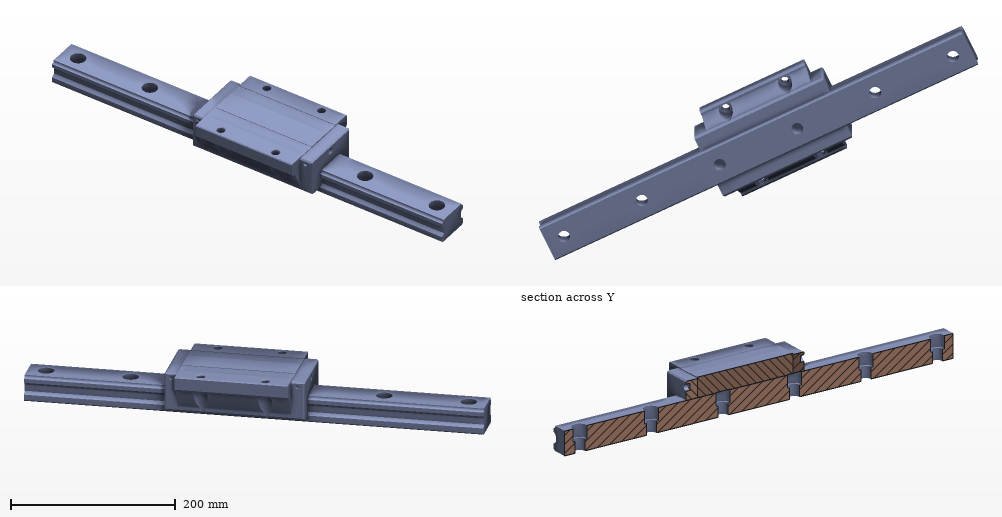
import cadquery as cq
rail_length = 570.0
rail_height = 33.0
rail_half_width = 23.0
rail_top_half_width = 19.5
rail_neck_half_width = 18.0
rail_foot_bevel = 1.5
rail_foot_top = 8.5
neck_bottom = 12.0
neck_top = 20.0
head_bottom = 24.0
head_top = 29.0
upper_track_sagitta = 1.0
side_track_sagitta = 0.5
rail_hole_count = 6
rail_hole_pitch = 105.0
rail_hole_diameter = 14.0
rail_counterbore_diameter = 20.0
rail_counterbore_depth = 17.0

carriage_x = 20.0
carriage_top = 60.0
block_length = 141.0
flange_half_width = 120.0 / 2
flange_thickness = 19.0
flange_top_bevel = 1.0
flange_edge_bevel = 3.0
slope_top_half_width = 54.0
slope_top_round = 2.0
slope_bottom_round = 7.0
skirt_half_width = 42.0
skirt_top = 16.5
carriage_bottom = 8.5
bottom_bevel = 3.0
bolt_pitch_x = 80.0
bolt_pitch_y = 100.5
bolt_hole_diameter = 10.0
bolt_hole_bevel = 0.85
bolt_relief_diameter = 17.0
strip_inner = 16.5
strip_outer = 35.5
strip_depth = 0.5

cap_length = 16.5
cap_top = 58.0
cap_bevel = 1.5
grease_hole_diameter = 8.5
grease_hole_depth = 5.5
grease_hole_z = 49.5
side_port_diameter = 5.2
side_port_depth = 3.0
side_port_z = 52.5
side_port_inset = 8.0


def extrude_section(half_outline, length, center_x):
    """Mirror a (y, z) half outline about y = 0 and extrude it along X."""
    mirrored = [(-y, z) for y, z in reversed(half_outline)]
    section = cq.Workplane("YZ").polyline(half_outline + mirrored).close()
    return section.extrude(length / 2, both=True).translate((center_x, 0, 0))


def rail_bar():
    """Rail without its holes: straight sections joined by concave ball tracks."""
    half = (
        cq.Workplane("YZ")
        .moveTo(0, 0)
        .lineTo(rail_half_width - rail_foot_bevel, 0)
        .lineTo(rail_half_width, rail_foot_bevel)
        .lineTo(rail_half_width, rail_foot_top)
        .lineTo(rail_neck_half_width, neck_bottom)
        .lineTo(rail_neck_half_width, neck_top)
        .sagittaArc((rail_half_width, head_bottom), side_track_sagitta)
        .lineTo(rail_half_width, head_top)
        .sagittaArc((rail_top_half_width, rail_height), upper_track_sagitta)
        .lineTo(0, rail_height)
        .close()
        .extrude(rail_length / 2, both=True)
    )
    return half.union(half.mirror("XZ"))


def make_rail():
    return (
        rail_bar()
        .faces(">Z")
        .workplane(origin=(0, 0, rail_height))
        .rarray(rail_hole_pitch, 5.5, rail_hole_count, 1)
        .cboreHole(rail_hole_diameter, rail_counterbore_diameter, rail_counterbore_depth)
    )


def round_long_edge(block, y, z, radius):
    """Fillet the edge along X that lies at (y, z)."""
    edge = cq.selectors.NearestToPointSelector((carriage_x, y, z))
    return block.edges("|X").edges(edge).fillet(radius)


def bolt_positions(z):
    return cq.Workplane("XY", origin=(carriage_x, 0, z)).rarray(bolt_pitch_x, bolt_pitch_y, 2, 2)


def bolt_holes(flange_bottom):
    """Bolt holes with bevelled mouths, and the wider reliefs below the flanges."""
    hole_radius = bolt_hole_diameter / 2
    mouth = cq.Solid.makeCone(hole_radius, hole_radius + bolt_hole_bevel, bolt_hole_bevel)
    mouths = bolt_positions(carriage_top - bolt_hole_bevel).eachpoint(mouth.moved)
    holes = bolt_positions(flange_bottom).circle(hole_radius).extrude(flange_thickness)
    reliefs = (
        bolt_positions(carriage_bottom)
        .circle(bolt_relief_diameter / 2)
        .extrude(flange_bottom - carriage_bottom)
    )
    return holes.union(mouths).union(reliefs)


def make_block():
    flange_bottom = carriage_top - flange_thickness
    half_outline = [
        (skirt_half_width - bottom_bevel, carriage_bottom),
        (skirt_half_width, carriage_bottom + bottom_bevel),
        (skirt_half_width, skirt_top),
        (slope_top_half_width, flange_bottom),
        (flange_half_width - flange_edge_bevel, flange_bottom),
        (flange_half_width, flange_bottom + flange_edge_bevel),
        (flange_half_width, carriage_top - flange_top_bevel),
        (flange_half_width - flange_top_bevel, carriage_top),
    ]
    block = extrude_section(half_outline, block_length, carriage_x)
    for side in (-1, 1):
        block = round_long_edge(block, side * slope_top_half_width, flange_bottom, slope_top_round)
        block = round_long_edge(block, side * skirt_half_width, skirt_top, slope_bottom_round)

    strip_width = strip_outer - strip_inner
    strips = (
        cq.Workplane("XY", origin=(carriage_x, 0, carriage_top))
        .rarray(5.5, strip_inner + strip_outer, 1, 2)
        .rect(block_length, strip_width)
        .extrude(-strip_depth)
    )
    return block.cut(strips).cut(bolt_holes(flange_bottom)).cut(rail_bar())


def make_end_cap(side):
    """End cap on the +X (side = 1) or -X (side = -1) end of the block."""
    block_face_x = carriage_x + side * block_length / 2
    outer_face_x = block_face_x + side * cap_length
    cap = (
        cq.Workplane("XY")
        .box(cap_length, 2 * skirt_half_width, cap_top - carriage_bottom)
        .translate(((block_face_x + outer_face_x) / 2, 0, (cap_top + carriage_bottom) / 2))
    )
    outer_face = ">X" if side > 0 else "<X"
    cap = cap.edges("|X and <Z").chamfer(bottom_bevel)
    cap = cap.edges(f"(|X and >Z) or ({outer_face} and (|Z or >Z))").chamfer(cap_bevel)

    grease_hole = (
        cq.Workplane("YZ", origin=(outer_face_x, 0, grease_hole_z))
        .circle(grease_hole_diameter / 2)
        .extrude(-side * grease_hole_depth)
    )
    cap = cap.cut(grease_hole).cut(rail_bar())

    port_x = block_face_x + side * side_port_inset
    for y_side in (-1, 1):
        side_port = (
            cq.Workplane("XZ", origin=(port_x, y_side * skirt_half_width, side_port_z))
            .circle(side_port_diameter / 2)
            .extrude(y_side * side_port_depth)
        )
        cap = cap.cut(side_port)
    return cap


rail = make_rail()
block = make_block()
end_caps = [make_end_cap(side) for side in (-1, 1)]

result = cq.Compound.makeCompound([rail.val(), block.val(), *[cap.val() for cap in end_caps]])